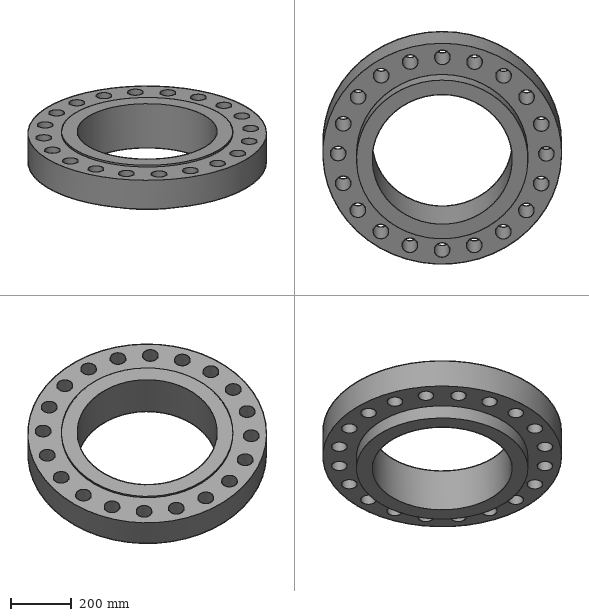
import cadquery as cq

flange_diameter = 787.5
flange_thickness = 103.0

hub_diameter = 565.0
overall_height = 159.0
raised_face_diameter = hub_diameter
raised_face_height = 6.0
hub_height = overall_height - flange_thickness - raised_face_height

bore_diameter = 461.5
bolt_count = 20
bolt_hole_diameter = 51.0
bolt_circle_diameter = 687.0
bolt_pitch_angle = 360 / bolt_count


def disc(diameter, bottom, height):
    """Solid disc on the Z axis, starting at the given height."""
    return cq.Workplane("XY").workplane(offset=bottom).circle(diameter / 2).extrude(height)


def bolt_holes():
    """Bolt hole cutters, with the X and Y axes midway between neighbouring holes."""
    return (
        cq.Workplane("XY")
        .polarArray(bolt_circle_diameter / 2, bolt_pitch_angle / 2, 360, bolt_count)
        .circle(bolt_hole_diameter / 2)
        .extrude(overall_height)
    )


hub = disc(hub_diameter, 0, hub_height)
flange = disc(flange_diameter, hub_height, flange_thickness)
raised_face = disc(raised_face_diameter, hub_height + flange_thickness, raised_face_height)
bore = disc(bore_diameter, 0, overall_height)

result = hub.union(flange).union(raised_face).cut(bore).cut(bolt_holes())